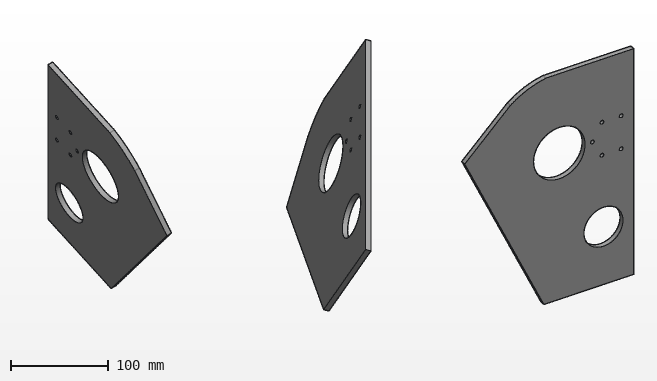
import cadquery as cq
import math

height = 273.0
width = 204.0
thickness = 6.0
bottom_width = 108.5
tip_height = 202.0

large_hole_diameter = 62.0
large_hole_x = 89.8
large_hole_z = 177.0
corner_radius = 97.5
corner_end_x = 148.8

lower_hole_diameter = 47.0
lower_hole_x = 36.5
lower_hole_z = 70.0

screw_diameter = 4.5
screw_left_x = 15.3
screw_spacing_x = 23.2
screw_spacing_z = 39.9
single_screw_x = 50.0


def corner_point(angle):
    """Point on the rounded corner at an angle from +X, in radians."""
    return (
        large_hole_x + corner_radius * math.cos(angle),
        large_hole_z + corner_radius * math.sin(angle),
    )


def make_plate():
    """Flat plate with one rounded corner and a slanted right side."""
    start_angle = math.asin((height - large_hole_z) / corner_radius)
    end_angle = math.acos((corner_end_x - large_hole_x) / corner_radius)
    middle_angle = (start_angle + end_angle) / 2
    return (
        cq.Workplane("XZ")
        .lineTo(0, height)
        .lineTo(*corner_point(start_angle))
        .threePointArc(corner_point(middle_angle), corner_point(end_angle))
        .lineTo(width, tip_height)
        .lineTo(bottom_width, 0)
        .close()
        .extrude(thickness)
    )


def hole_cutter(points, diameter):
    """Cylinders through the whole plate at the given XZ points."""
    return cq.Workplane("XZ").pushPoints(points).circle(diameter / 2).extrude(thickness)


screw_points = [(single_screw_x, large_hole_z)]
for x in (screw_left_x, screw_left_x + screw_spacing_x):
    for side in (-1, 1):
        screw_points.append((x, large_hole_z + side * screw_spacing_z / 2))

result = (
    make_plate()
    .cut(hole_cutter([(large_hole_x, large_hole_z)], large_hole_diameter))
    .cut(hole_cutter([(lower_hole_x, lower_hole_z)], lower_hole_diameter))
    .cut(hole_cutter(screw_points, screw_diameter))
)